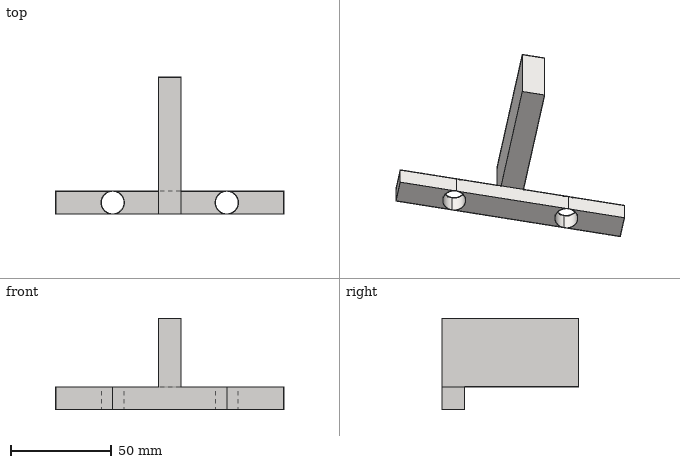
import cadquery as cq

unit = 11.407

bar_width = unit
bar_height = unit
bar_length = 10 * unit

hole_diameter = bar_width
hole_offset = bar_length / 4

plate_thickness = unit
plate_depth = 6 * unit
plate_height = 3 * unit


def hole_cutter(side):
    """Vertical cylinder at one hole; side is -1 for left or +1 for right."""
    return (
        cq.Workplane("XY")
        .center(side * hole_offset, bar_width / 2)
        .circle(hole_diameter / 2)
        .extrude(bar_height)
    )


def make_center_piece():
    """Bar between the two hole centers, scooped at both ends, with the upright plate."""
    bar = cq.Workplane("XY").box(2 * hole_offset, bar_width, bar_height, centered=(True, False, False))
    for side in (-1, 1):
        bar = bar.cut(hole_cutter(side))
    plate = (
        cq.Workplane("XY", origin=(0, 0, bar_height))
        .box(plate_thickness, plate_depth, plate_height, centered=(True, False, False))
    )
    return bar.union(plate, clean=False)


def make_end_piece(side):
    """Bar from one hole center out to the end of the bar, scooped at its inner end."""
    end_length = bar_length / 2 - hole_offset
    end_center = side * (hole_offset + end_length / 2)
    return (
        cq.Workplane("XY", origin=(end_center, 0, 0))
        .box(end_length, bar_width, bar_height, centered=(True, False, False))
        .cut(hole_cutter(side))
    )


center_piece = make_center_piece()
end_pieces = [make_end_piece(side) for side in (-1, 1)]

result = cq.Compound.makeCompound(
    [center_piece.solids().val(), *[piece.solids().val() for piece in end_pieces]]
)